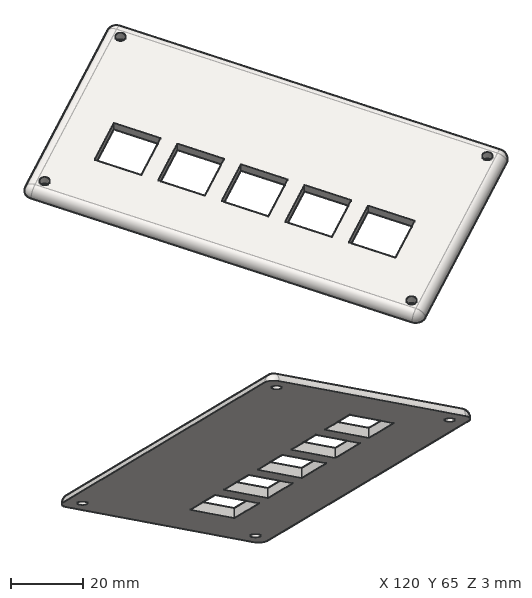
import cadquery as cq

plate_length = 120.0
plate_width = 65.0
plate_thickness = 3.0
rim_height = 0.1
edge_radius = plate_thickness - rim_height

screw_hole_diameter = 2.9
screw_hole_inset = 5.0

key_count = 5
key_pitch = 19.05
key_opening = 14.0
key_row_y = -8.25


def make_plate():
    """Rectangular plate with rounded corners and a rounded upper edge."""
    plate = cq.Workplane("XY").box(
        plate_length, plate_width, plate_thickness, centered=(True, True, False)
    )
    plate = plate.edges("|Z").fillet(edge_radius)
    return plate.faces(">Z").edges().fillet(edge_radius)


def screw_holes():
    """Through cutters, one in each corner of the plate."""
    return (
        cq.Workplane("XY")
        .rect(
            plate_length - 2 * screw_hole_inset,
            plate_width - 2 * screw_hole_inset,
            forConstruction=True,
        )
        .vertices()
        .circle(screw_hole_diameter / 2)
        .extrude(plate_thickness)
    )


def key_openings():
    """Square through cutters in one row, centred along the plate length."""
    return (
        cq.Workplane("XY")
        .center(0, key_row_y)
        .rarray(key_pitch, 1, key_count, 1)
        .rect(key_opening, key_opening)
        .extrude(plate_thickness)
    )


result = make_plate().cut(screw_holes()).cut(key_openings())